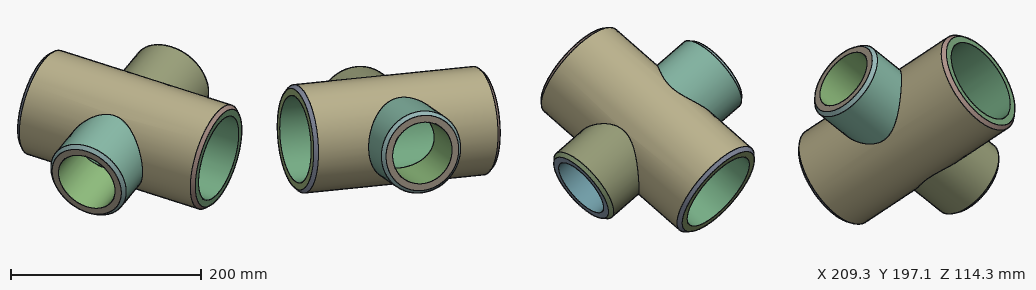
import cadquery as cq

run_length = 209.3
run_diameter = 114.3

branch_span = 197.1
branch_diameter = 88.9

wall = 11.13
bevel_axial = 4.0
bevel_radial = 3.7


def beveled_bar(plane, diameter, length):
    """Solid round bar centred on the origin, with a beveled rim at each end."""
    radius = diameter / 2
    half_length = length / 2
    half_profile = [
        (0, -half_length),
        (radius - bevel_radial, -half_length),
        (radius, -half_length + bevel_axial),
        (radius, half_length - bevel_axial),
        (radius - bevel_radial, half_length),
        (0, half_length),
    ]
    axis_start = (0, 0)
    axis_end = (0, 1)
    return cq.Workplane(plane).polyline(half_profile).close().revolve(360, axis_start, axis_end)


def bore(plane, diameter, length):
    """Cylinder that hollows a pipe of the given outer diameter end to end."""
    inner_radius = diameter / 2 - wall
    return cq.Workplane(plane).circle(inner_radius).extrude(length / 2, both=True)


run_bar = beveled_bar("ZX", run_diameter, run_length)
branch_bar = beveled_bar("ZY", branch_diameter, branch_span)

run_bore = bore("YZ", run_diameter, run_length)
branch_bore = bore("XZ", branch_diameter, branch_span)

result = run_bar.union(branch_bar).cut(run_bore).cut(branch_bore)